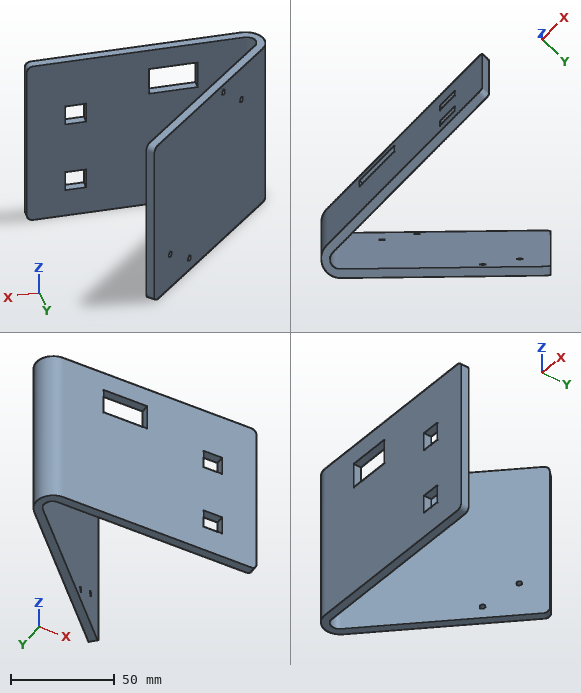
import cadquery as cq
import math

thickness = 4.56
inner_radius = 4.7625
outer_radius = 9.545
leg_angle = 45.0
width = 88.9
overall_length = 116.67
overall_depth = 87.56
corner_radius = 3.175

port_x = 92.45
port_size = 10.3
port_heights = (19.9, 57.9)
display_window = (44.05, 70.95, 24.0, 14.2)
port_windows = [(port_x, port_z, port_size, port_size) for port_z in port_heights]

screw_diameter = 2.7
screw_holes = [(36.4, 84.6), (19.6, 70.8), (85.9, 19.2), (68.1, 6.8)]

angle = math.radians(leg_angle)
along = cq.Vector(math.cos(angle), math.sin(angle), 0)
outward = cq.Vector(-math.sin(angle), math.cos(angle), 0)
toward_bend = cq.Vector(-math.cos(angle / 2), -math.sin(angle / 2), 0)

outer_center = cq.Vector(outer_radius, outer_radius, 0)
inner_center_y = thickness + inner_radius
center_shift = (outer_radius - inner_center_y) / math.sin(angle / 2)
inner_center = outer_center + toward_bend * center_shift
back_length = (overall_depth - outer_radius * (1 + math.cos(angle))) / math.sin(angle)


def back_point(depth, distance):
    """Point on the back leg at a depth below its outer face and a distance from the outer bend line."""
    return outer_center + outward * (outer_radius - depth) + along * distance


def make_sheet():
    """Bent sheet with rounded corners at both free ends."""
    outer_bend_end = outer_center + outward * outer_radius
    outer_tip = back_point(0, back_length)
    inner_tip = back_point(thickness, back_length)
    inner_bend_start = inner_center + outward * inner_radius
    inner_bend_end = cq.Vector(inner_center.x, thickness)
    profile = (
        cq.Workplane("XY")
        .moveTo(overall_length, 0)
        .lineTo(outer_radius, 0)
        .threePointArc(outer_center + toward_bend * outer_radius, outer_bend_end)
        .lineTo(outer_tip.x, outer_tip.y)
        .lineTo(inner_tip.x, inner_tip.y)
        .lineTo(inner_bend_start.x, inner_bend_start.y)
        .threePointArc(inner_center + toward_bend * inner_radius, inner_bend_end)
        .lineTo(overall_length, thickness)
        .close()
    )
    sheet = profile.extrude(width)
    front_corners = cq.selectors.ParallelDirSelector(cq.Vector(0, 1, 0))
    back_corners = cq.selectors.ParallelDirSelector(outward)
    sheet = sheet.faces(">X").edges(front_corners).fillet(corner_radius)
    end_face = cq.selectors.DirectionMinMaxSelector(along, True)
    return sheet.faces(end_face).edges(back_corners).fillet(corner_radius)


def window_cutter(x_center, z_center, x_size, z_size):
    """Rectangular block through the front plate."""
    return (
        cq.Workplane("XY")
        .box(x_size, thickness, z_size)
        .translate((x_center, thickness / 2, z_center))
    )


def screw_cutter(distance, z_center):
    """Cylinder through the back leg, square to its faces."""
    start = back_point(thickness, distance) + cq.Vector(0, 0, z_center)
    return cq.Workplane(cq.Solid.makeCylinder(screw_diameter / 2, thickness, start, outward))


result = make_sheet()
for window in [display_window, *port_windows]:
    result = result.cut(window_cutter(*window))
for hole in screw_holes:
    result = result.cut(screw_cutter(*hole))